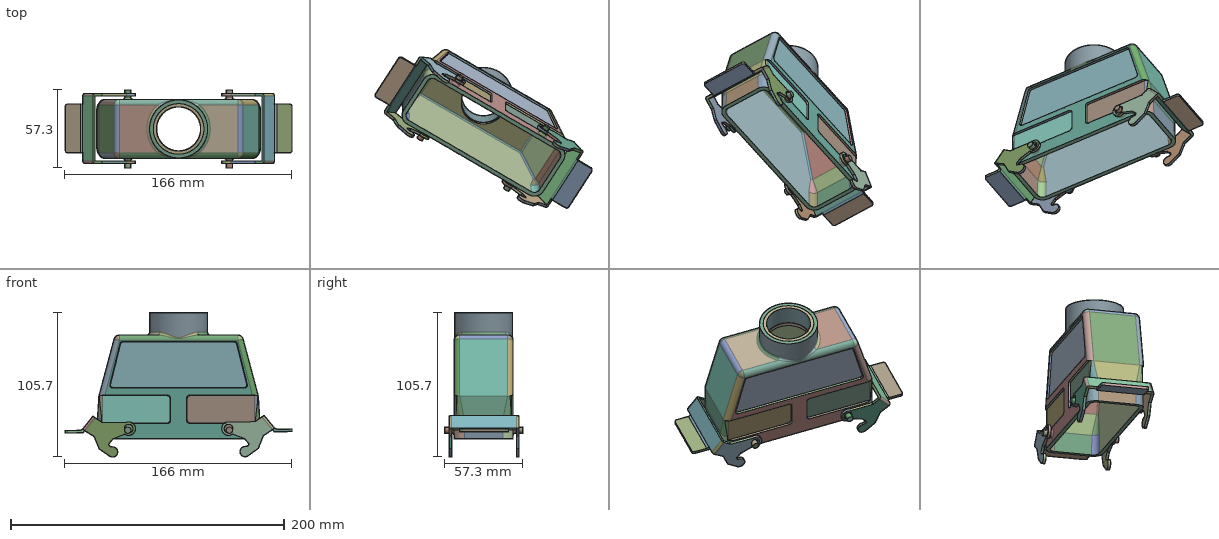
import cadquery as cq
import math


HOOD_WIDTH = 43.3
HALF_LENGTH_FOOT = 59.9
HALF_LENGTH_WAIST = 59.4
HALF_LENGTH_KNEE = 58.5
HALF_LENGTH_ROOF = 46.5
WAIST_Z = 15.0
KNEE_Z = 31.2
ROOF_Z = 76.0
FOOT_CORNER = 7.5
ROOF_ROUND = 4.1
WALL = 3.0
ROOF_THICKNESS = 2.0

NECK_TOP_Z = 92.3
NECK_DIAMETER = 42.5
NECK_BORE = 37.0
LEDGE_Z = 77.0
NECK_FILLET = 2.0
CLEARANCE = 0.2
ROOF_HOLE = 32.5
SLEEVE_BORE = 32.0

PANEL_DEPTH = 1.3
PANEL_DRAFT = 20
LABEL_BOTTOM_Z = 37.2
LABEL_TOP_Z = 71.2
LABEL_HALF_BOTTOM = 51.0
LABEL_HALF_TOP = 42.5
LABEL_CORNER = 2.2
GRIP_BOTTOM_Z = 11.1
GRIP_TOP_Z = 32.0
GRIP_INNER_X = 5.8
GRIP_OUTER_X = HALF_LENGTH_FOOT + 6.6
GRIP_CORNER = 2.7
GRIP_FLOOR_END_X = 55.6
GRIP_END_ROUND = 3.3
GRIP_END_SLOPE = 40

PIN_X = 37.2
PIN_Z = 6.3
PIN_DIAMETER = 4.6
PIN_SPAN = 57.3
PIN_FILLET = 1.5

EYE_X = 36.5
EYE_Z = 7.5
EYE_RADIUS = 5.0
EYE_HOLE = 6.3
LEVER_WIDTH = 51.3
SHEET = 2.0
BEND_RADIUS = 1.8
BRIDGE_TOP = (-26.2, 9.1)
BRIDGE_END = (-33.7, -0.3)
ARM_SHOULDER = (-19.6, 4.6)
ARM_HEEL = (-25.4, -5.8)
HOOK_HEEL = (-21.5, -15.0)
HOOK_CENTRE = (-11.8, -17.1)
HOOK_RADIUS = 3.8
NOTCH_CENTRE = (-13.0, -11.6)
NOTCH_RADIUS = 1.5
NOTCH_START_ANGLE = 140
NOTCH_END_ANGLE = 270
NOTCH_MOUTH = (-11.3, -7.5)
EYE_EXIT_ANGLE = 235
TAB_KNEE_TOP = (-35.3, -1.2)
TAB_TIP_TOP_Z = -1.3
TAB_WIDTH = 35.8
TAB_CORNER = 1.8
LEVER_SHIFT_Y = 0.3
RIGHT_LEVER_TILT = 1.3
OVERALL_LENGTH = 166.0

TAB_TIP_BOTTOM_Z = TAB_TIP_TOP_Z - SHEET
TILT = math.radians(RIGHT_LEVER_TILT)
TAB_REACH = (OVERALL_LENGTH - 2 * EYE_X + TAB_TIP_BOTTOM_Z * math.sin(TILT)) / (1 + math.cos(TILT))

BRIDGE_LENGTH = math.dist(BRIDGE_TOP, BRIDGE_END)
BRIDGE_ALONG = (
    (BRIDGE_END[0] - BRIDGE_TOP[0]) / BRIDGE_LENGTH,
    (BRIDGE_END[1] - BRIDGE_TOP[1]) / BRIDGE_LENGTH,
)


def on_circle(centre, radius, degrees):
    """Point on a circle at the given angle."""
    angle = math.radians(degrees)
    return (centre[0] + radius * math.cos(angle), centre[1] + radius * math.sin(angle))


def across(outline, width):
    """Extrude an XZ outline to both sides of y = 0."""
    return outline.extrude(width / 2, both=True)


def rounded_section(half_length, width, corner, z):
    """Horizontal rounded rectangle centred on the Z axis."""
    sketch = cq.Sketch().rect(2 * half_length, width).vertices().fillet(corner)
    return sketch.moved(cq.Location(cq.Vector(0, 0, z)))


def hood_form(inset=0, top_z=ROOF_Z):
    """The hood's outer form, or with an inset the cavity that follows it."""
    width = HOOD_WIDTH - 2 * inset
    knee_x = HALF_LENGTH_KNEE - inset
    roof_x = HALF_LENGTH_ROOF - inset
    trapezoid = cq.Workplane("XZ").polyline([
        (-knee_x, KNEE_Z),
        (knee_x, KNEE_Z),
        (roof_x, top_z),
        (-roof_x, top_z),
    ]).close()
    upper = across(trapezoid, width).edges("not <Z").fillet(ROOF_ROUND - inset)
    knee_section = cq.Sketch().face(upper.faces("<Z").wires().val())
    foot_corner = FOOT_CORNER - inset
    lower = cq.Workplane().placeSketch(
        rounded_section(HALF_LENGTH_FOOT - inset, width, foot_corner, 0),
        rounded_section(HALF_LENGTH_WAIST - inset, width, foot_corner, WAIST_Z),
        knee_section,
    ).loft(ruled=True)
    return upper.union(lower)


def cylinder_up(diameter, bottom_z, top_z):
    return cq.Workplane(origin=(0, 0, bottom_z)).circle(diameter / 2).extrude(top_z - bottom_z)


def label_panel():
    """Recess cutter for the large trapezoid panel on the -Y side."""
    outline = (
        cq.Sketch()
        .polygon([
            (-LABEL_HALF_BOTTOM, LABEL_BOTTOM_Z),
            (LABEL_HALF_BOTTOM, LABEL_BOTTOM_Z),
            (LABEL_HALF_TOP, LABEL_TOP_Z),
            (-LABEL_HALF_TOP, LABEL_TOP_Z),
            (-LABEL_HALF_BOTTOM, LABEL_BOTTOM_Z),
        ])
        .vertices()
        .fillet(LABEL_CORNER)
    )
    side = cq.Workplane("XZ", origin=(0, -HOOD_WIDTH / 2, 0))
    return side.placeSketch(outline).extrude(-PANEL_DEPTH, taper=PANEL_DRAFT)


def grip_panel():
    """Recess cutter for the lower panel on the -Y side at +X; it runs out through the end."""
    length = GRIP_OUTER_X - GRIP_INNER_X
    height = GRIP_TOP_Z - GRIP_BOTTOM_Z
    outline = cq.Sketch().rect(length, height).vertices().fillet(GRIP_CORNER)
    centre_x = (GRIP_OUTER_X + GRIP_INNER_X) / 2
    centre_z = (GRIP_TOP_Z + GRIP_BOTTOM_Z) / 2
    side = cq.Workplane("XZ", origin=(centre_x, -HOOD_WIDTH / 2, centre_z))
    panel = side.placeSketch(outline).extrude(-PANEL_DEPTH, taper=PANEL_DRAFT)
    floor_height = height - 2 * PANEL_DEPTH * math.tan(math.radians(PANEL_DRAFT))
    return panel.union(grip_end(floor_height).translate((0, 0, centre_z)))


def grip_end(height):
    """Cutter that rolls the grip panel's floor inward where it meets the hood's end."""
    floor_y = PANEL_DEPTH - HOOD_WIDTH / 2
    centre = (GRIP_FLOOR_END_X, floor_y + GRIP_END_ROUND)
    roll_end = on_circle(centre, GRIP_END_ROUND, -90 + GRIP_END_SLOPE)
    run_out = GRIP_OUTER_X - roll_end[0]
    profile = (
        cq.Workplane("XY")
        .moveTo(GRIP_FLOOR_END_X, floor_y)
        .threePointArc(on_circle(centre, GRIP_END_ROUND, -90 + GRIP_END_SLOPE / 2), roll_end)
        .line(run_out, run_out * math.tan(math.radians(GRIP_END_SLOPE)))
        .lineTo(GRIP_OUTER_X, floor_y)
        .close()
    )
    return profile.extrude(height / 2, both=True)


def pivot_pin():
    """Pin on the -Y side at +X with a flared root; it starts inside the hood wall."""
    radius = PIN_DIAMETER / 2
    wall_y = HOOD_WIDTH / 2
    root_y = wall_y - WALL / 2
    flare_middle = on_circle((radius + PIN_FILLET, wall_y + PIN_FILLET), PIN_FILLET, 225)
    profile = (
        cq.Workplane("XY")
        .moveTo(0, root_y)
        .lineTo(radius + PIN_FILLET, root_y)
        .lineTo(radius + PIN_FILLET, wall_y)
        .threePointArc(flare_middle, (radius, wall_y + PIN_FILLET))
        .lineTo(radius, PIN_SPAN / 2)
        .lineTo(0, PIN_SPAN / 2)
        .close()
    )
    pin = profile.revolve(360, (0, 0, 0), (0, 1, 0))
    return pin.mirror("XZ").translate((PIN_X, 0, PIN_Z))


def four_corners(shape):
    """The shape and its mirror copies in the planes x = 0 and y = 0."""
    pair = [shape, shape.mirror("YZ")]
    return pair + [item.mirror("XZ") for item in pair]


def neck_root():
    """Selects the seam between neck and roof, including its dips over the roof rounding."""
    half = NECK_DIAMETER / 2 + CLEARANCE
    low = (-half, -half, ROOF_Z - ROOF_ROUND + CLEARANCE)
    high = (half, half, ROOF_Z + CLEARANCE)
    return cq.selectors.BoxSelector(low, high)


def make_housing():
    hood = hood_form().union(cylinder_up(NECK_DIAMETER, KNEE_Z, NECK_TOP_Z))
    hood = hood.edges(neck_root()).fillet(NECK_FILLET)
    hood = hood.cut(hood_form(WALL, ROOF_Z - ROOF_THICKNESS))
    hood = hood.cut(cylinder_up(NECK_BORE, LEDGE_Z, NECK_TOP_Z))
    hood = hood.cut(cylinder_up(ROOF_HOLE, KNEE_Z, LEDGE_Z))
    label = label_panel()
    for cutter in [label, label.mirror("XZ"), *four_corners(grip_panel())]:
        hood = hood.cut(cutter)
    for pin in four_corners(pivot_pin()):
        hood = hood.union(pin)
    return hood


def make_sleeve():
    """Plain liner that fills the neck bore down to the roof ledge."""
    liner = cylinder_up(NECK_BORE, LEDGE_Z, NECK_TOP_Z)
    return liner.cut(cylinder_up(SLEEVE_BORE, LEDGE_Z, NECK_TOP_Z))


def behind_bridge(point, along, depth):
    """A point moved along the bridge slope and then inward, square to the bridge."""
    u, w = BRIDGE_ALONG
    return (point[0] + along * u - depth * w, point[1] + along * w + depth * u)


def chin_angle():
    """Angle on the hook circle where the straight line from the hook heel touches it."""
    run = HOOK_CENTRE[0] - HOOK_HEEL[0]
    rise = HOOK_CENTRE[1] - HOOK_HEEL[1]
    lean = math.asin(HOOK_RADIUS / math.hypot(run, rise))
    return math.degrees(math.atan2(rise, run) - lean) - 90


def lever_side_block():
    """Side outline of arm, eye and hook over the full lever width."""
    eye = (0, 0)
    shoulder_on_eye = (-math.sqrt(EYE_RADIUS**2 - ARM_SHOULDER[1] ** 2), ARM_SHOULDER[1])
    notch_middle_angle = (NOTCH_START_ANGLE + NOTCH_END_ANGLE) / 2
    outline = (
        cq.Workplane("XZ")
        .moveTo(*BRIDGE_TOP)
        .lineTo(*ARM_SHOULDER)
        .lineTo(*shoulder_on_eye)
        .threePointArc(on_circle(eye, EYE_RADIUS, 0), on_circle(eye, EYE_RADIUS, EYE_EXIT_ANGLE))
        .lineTo(*NOTCH_MOUTH)
        .lineTo(*on_circle(NOTCH_CENTRE, NOTCH_RADIUS, NOTCH_START_ANGLE))
        .threePointArc(
            on_circle(NOTCH_CENTRE, NOTCH_RADIUS, notch_middle_angle),
            on_circle(NOTCH_CENTRE, NOTCH_RADIUS, NOTCH_END_ANGLE),
        )
        .lineTo(*on_circle(HOOK_CENTRE, HOOK_RADIUS, 90))
        .threePointArc(
            on_circle(HOOK_CENTRE, HOOK_RADIUS, 0),
            on_circle(HOOK_CENTRE, HOOK_RADIUS, chin_angle()),
        )
        .lineTo(*HOOK_HEEL)
        .lineTo(*ARM_HEEL)
        .lineTo(*behind_bridge(BRIDGE_END, 0, SHEET))
        .lineTo(*BRIDGE_END)
        .close()
    )
    return across(outline, LEVER_WIDTH)


def finger_tab():
    """Flat tab bent outward from the lower end of the bridge."""
    outline = cq.Workplane("XZ").polyline([
        BRIDGE_END,
        TAB_KNEE_TOP,
        (-TAB_REACH, TAB_TIP_TOP_Z),
        (-TAB_REACH, TAB_TIP_BOTTOM_Z),
        (TAB_KNEE_TOP[0] + SHEET, TAB_KNEE_TOP[1] - SHEET),
        behind_bridge(BRIDGE_END, 0, SHEET),
    ]).close()
    return across(outline, TAB_WIDTH).faces("<X").edges("|Z").fillet(TAB_CORNER)


def space_behind_bridge():
    """Everything between the two arms on the inner side of the bridge sheet."""
    far = 3 * BRIDGE_LENGTH
    outline = cq.Workplane("XZ").polyline([
        behind_bridge(BRIDGE_TOP, -far, SHEET),
        behind_bridge(BRIDGE_TOP, far, SHEET),
        behind_bridge(BRIDGE_TOP, far, far),
        behind_bridge(BRIDGE_TOP, -far, far),
    ]).close()
    return across(outline, LEVER_WIDTH - 2 * SHEET)


def make_lever():
    """Bent sheet lever for the -X side: a sloped bridge joins two hooked arms and carries a tab."""
    lever = lever_side_block()
    bend_x, bend_z = behind_bridge(BRIDGE_TOP, BRIDGE_LENGTH / 2, 0)
    for side in (-1, 1):
        bend = cq.selectors.NearestToPointSelector((bend_x, side * LEVER_WIDTH / 2, bend_z))
        lever = lever.edges(bend).fillet(BEND_RADIUS)
    eye_hole = across(cq.Workplane("XZ").circle(EYE_HOLE / 2), LEVER_WIDTH)
    return lever.cut(space_behind_bridge()).union(finger_tab()).cut(eye_hole)


def pin_seats():
    """Room for the pins, which bear in the lower outer side of the lever eyes."""
    seats = cq.Workplane("XZ").pushPoints([(-PIN_X, PIN_Z), (PIN_X, PIN_Z)]).circle(PIN_DIAMETER / 2)
    return across(seats, PIN_SPAN)


def make_levers():
    """The left lever and its mirror image, which is swung up by a small tilt."""
    plain = make_lever()
    mirrored = plain.mirror("YZ").rotate((0, 0, 0), (0, 1, 0), -RIGHT_LEVER_TILT)
    left = plain.translate((-EYE_X, LEVER_SHIFT_Y, EYE_Z))
    right = mirrored.translate((EYE_X, LEVER_SHIFT_Y, EYE_Z))
    return [lever.cut(pin_seats()) for lever in (left, right)]


housing = make_housing()
sleeve = make_sleeve()
levers = make_levers()

result = cq.Compound.makeCompound([housing.val(), sleeve.val(), *[lever.val() for lever in levers]])